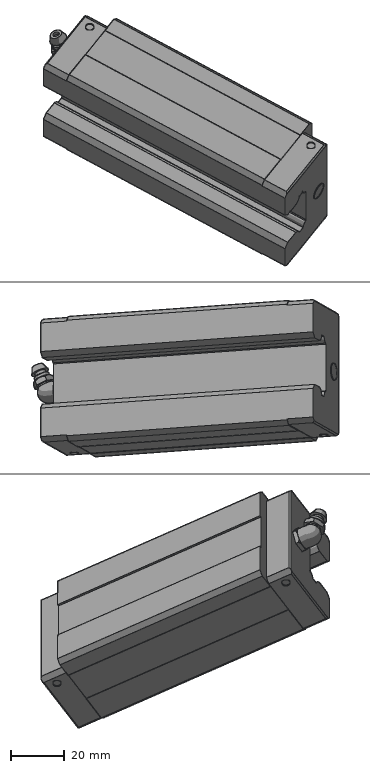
import cadquery as cq
import math


overall_length = 120.6

block_length = 88.0
block_height = 34.3
block_half_width = 24.0
edge_chamfer = 1.8
mount_groove_half_width = 8.7
mount_groove_depth = 0.7
side_groove_low = 12.9
side_groove_high = 26.3
side_groove_depth = 0.2

cap_length = 10.4
cap_height = 29.4
cap_half_width = 23.6
cap_face_chamfer = 0.6
pin_hole_diameter = 3.1
pin_hole_depth = 0.6
pin_hole_inset = 4.6
pin_hole_height = 24.7

channel_floor = 14.5
channel_half_width = 8.9
floor_bevel = 0.4
channel_mouth_chamfer = 1.9
throat_end = 7.5
race_half_width = 11.6
race_low = 9.9
race_high = 12.4
shoulder_bulge = 0.42

fitting_height = 22.8
base_hex_across_flats = 8.3
base_hex_length = 1.7
base_hex_chamfer = 0.5
elbow_radius = 4.1
nozzle_tilt = math.radians(22.5)
nozzle_hex_across_flats = 7.5
nozzle_hex_start = 3.4
nozzle_hex_end = 5.8
nozzle_hex_chamfer = 0.8
collar_radius = 3.0
collar_end = 7.1
neck_radius = 2.2
head_start = 8.6
head_end = 11.2
head_base_radius = 3.4
head_tip_radius = 2.3
bore_radius = 1.2
bore_depth = 1.2
plug_radius = 3.3
plug_length = 0.4

body_length = block_length + 2 * cap_length

head_overhang = head_end * math.sin(nozzle_tilt) + head_tip_radius * math.cos(nozzle_tilt)
elbow_reach = overall_length - body_length - plug_length - head_overhang


def bulged_point(start, end):
    """Point beside the middle of a line, offset to its right by the shoulder bulge."""
    dy, dz = end[0] - start[0], end[1] - start[1]
    length = math.hypot(dy, dz)
    mid_y = (start[0] + end[0]) / 2
    mid_z = (start[1] + end[1]) / 2
    return (mid_y + shoulder_bulge * dz / length, mid_z - shoulder_bulge * dy / length)


def plain_bar(half_width, height, start, length):
    """Rectangular bar along X that stands on Y = 0 and is centered in Z."""
    return (
        cq.Workplane("YZ", origin=(start, 0, 0))
        .center(height / 2, 0)
        .rect(height, 2 * half_width)
        .extrude(length)
    )


def chamfered_bar(half_width, height, start, length):
    """Rectangular bar with its four long edges chamfered."""
    return plain_bar(half_width, height, start, length).edges("|X").chamfer(edge_chamfer)


def steel_block():
    """Central block with shallow grooves in the mounting face and in both sides."""
    block = chamfered_bar(block_half_width, block_height, cap_length, block_length)
    mount_groove = cq.Workplane("XY").box(
        body_length,
        2 * mount_groove_depth,
        2 * mount_groove_half_width,
    )
    block = block.cut(mount_groove.translate((body_length / 2, block_height, 0)))
    side_groove = cq.Workplane("XY").box(
        body_length,
        side_groove_high - side_groove_low,
        2 * side_groove_depth,
    )
    for side in (1, -1):
        place = (body_length / 2, (side_groove_low + side_groove_high) / 2, side * block_half_width)
        block = block.cut(side_groove.translate(place))
    return block


def end_cap(start, outer_face, outer_x, inward):
    """End cap with a chamfered outer face and a shallow pin hole in each side."""
    beveled = plain_bar(cap_half_width, cap_height, start, cap_length)
    beveled = beveled.faces(outer_face).edges("not(<Y)").chamfer(cap_face_chamfer)
    cap = chamfered_bar(cap_half_width, cap_height, start, cap_length).intersect(beveled)
    hole = cq.Workplane("XY").circle(pin_hole_diameter / 2).extrude(2 * pin_hole_depth)
    for side in (1, -1):
        place = (
            outer_x + inward * pin_hole_inset,
            pin_hole_height,
            side * cap_half_width - pin_hole_depth,
        )
        cap = cap.cut(hole.translate(place))
    return cap


def rail_channel():
    """Channel along the whole carriage, with a ball race bounded by round shoulders on each side."""
    shoulder_start = (channel_floor - floor_bevel, channel_half_width + floor_bevel)
    race_top = (race_high, race_half_width)
    race_bottom = (race_low, race_half_width)
    throat = (throat_end, channel_half_width)
    half = (
        cq.Workplane("YZ")
        .moveTo(channel_floor, 0)
        .lineTo(channel_floor, channel_half_width)
        .lineTo(*shoulder_start)
        .threePointArc(bulged_point(race_top, shoulder_start), race_top)
        .lineTo(*race_bottom)
        .threePointArc(bulged_point(throat, race_bottom), throat)
        .lineTo(channel_mouth_chamfer, channel_half_width)
        .lineTo(0, channel_half_width + channel_mouth_chamfer)
        .lineTo(0, 0)
        .close()
        .extrude(body_length)
    )
    return half.union(half.mirror("XY"))


def chamfered_hexagon(plane, across_flats, length, chamfer):
    """Hexagonal prism whose far corners are turned down; two corners lie on the plane's X axis."""
    corner_radius = across_flats / 2 / math.cos(math.radians(30))
    far_face = cq.selectors.DirectionMinMaxSelector(plane.plane.zDir, True)
    turned = plane.circle(corner_radius).extrude(length).faces(far_face).chamfer(chamfer)
    return plane.polygon(6, 2 * corner_radius).extrude(length).intersect(turned)


def elbow():
    """Round bar along X that ends in a half ball."""
    slant = elbow_radius * math.sqrt(0.5)
    return (
        cq.Workplane("XY", origin=(-elbow_reach, fitting_height, 0))
        .moveTo(elbow_reach, 0)
        .lineTo(elbow_reach, elbow_radius)
        .lineTo(0, elbow_radius)
        .threePointArc((-slant, slant), (-elbow_radius, 0))
        .close()
        .revolve(360, (0, 0, 0), (1, 0, 0))
    )


def grease_fitting():
    """Angled grease nipple: hexagonal base, ball elbow and a tilted nozzle."""
    base = cq.Workplane(cq.Plane((0, fitting_height, 0), xDir=(0, 1, 0), normal=(-1, 0, 0)))
    center = cq.Vector(-elbow_reach, fitting_height, 0)
    axis = cq.Vector(-math.sin(nozzle_tilt), 0, math.cos(nozzle_tilt))
    across = cq.Vector(math.cos(nozzle_tilt), 0, math.sin(nozzle_tilt))

    def nozzle_plane(distance):
        return cq.Workplane(cq.Plane(center + axis * distance, xDir=across, normal=axis))

    fitting = chamfered_hexagon(base, base_hex_across_flats, base_hex_length, base_hex_chamfer)
    fitting = fitting.union(elbow())
    nozzle_hex = chamfered_hexagon(
        nozzle_plane(nozzle_hex_start),
        nozzle_hex_across_flats,
        nozzle_hex_end - nozzle_hex_start,
        nozzle_hex_chamfer,
    )
    collar = nozzle_plane(0).circle(collar_radius).extrude(collar_end)
    neck = nozzle_plane(0).circle(neck_radius).extrude(head_start)
    head = (
        nozzle_plane(head_start)
        .circle(head_base_radius)
        .workplane(offset=head_end - head_start)
        .circle(head_tip_radius)
        .loft()
    )
    bore = nozzle_plane(head_end - bore_depth).circle(bore_radius).extrude(2 * bore_depth)
    return fitting.union(nozzle_hex).union(collar).union(neck).union(head).cut(bore)


def plug():
    """Flat round plug closing the grease port at the far end."""
    return (
        cq.Workplane("YZ", origin=(body_length, 0, 0))
        .center(fitting_height, 0)
        .circle(plug_radius)
        .extrude(plug_length)
    )


carriage = (
    steel_block()
    .union(end_cap(0, "<X", 0, 1))
    .union(end_cap(body_length - cap_length, ">X", body_length, -1))
    .cut(rail_channel())
)
result = carriage.union(grease_fitting()).union(plug())